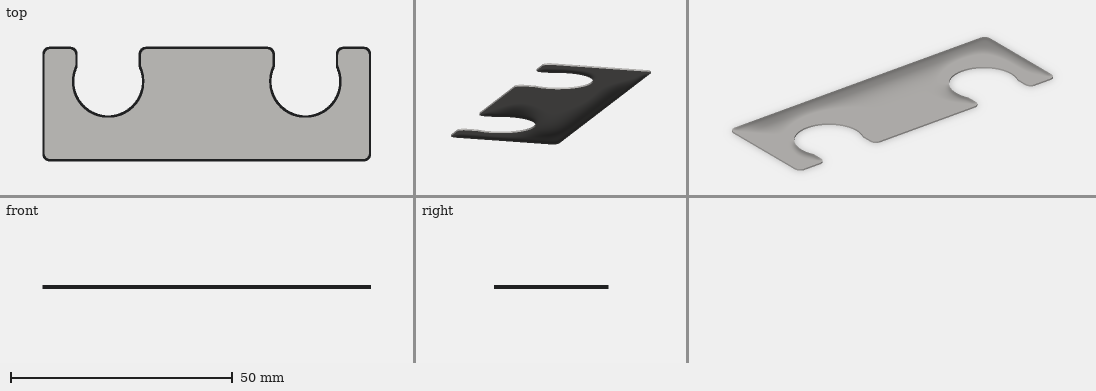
import cadquery as cq
import math

LENGTH = 73.66
WIDTH = 25.4
THICKNESS = 0.381

NOTCH_SPACING = 44.45
SEAT_DIAMETER = 15.748
SEAT_DEPTH = 7.62
MOUTH_WIDTH = 14.224

CORNER_RADIUS = 1.524

SEAT_RADIUS = SEAT_DIAMETER / 2
SEAT_Y = WIDTH / 2 - SEAT_DEPTH
NECK_RISE = math.sqrt(SEAT_RADIUS**2 - (MOUTH_WIDTH / 2) ** 2)


def make_plate():
    return cq.Workplane("XY").box(LENGTH, WIDTH, THICKNESS, centered=(True, True, False))


def make_notch(center_x):
    """Round seat joined to the +Y edge by a narrower straight mouth, with rounded necks."""
    seat_center = cq.Workplane("XY").center(center_x, SEAT_Y)
    seat = seat_center.circle(SEAT_RADIUS).extrude(THICKNESS)
    mouth = (
        cq.Workplane("XY")
        .center(center_x, SEAT_Y + SEAT_DEPTH / 2)
        .rect(MOUTH_WIDTH, SEAT_DEPTH)
        .extrude(THICKNESS)
    )
    notch = seat.union(mouth)
    for side in (-1, 1):
        neck = (center_x + side * MOUTH_WIDTH / 2, SEAT_Y + NECK_RISE, THICKNESS / 2)
        neck_edge = cq.selectors.NearestToPointSelector(neck)
        notch = notch.edges("|Z").edges(neck_edge).fillet(CORNER_RADIUS)
    return notch


def round_corners(plate):
    """Round every upright edge on the -Y and +Y sides, including the notch mouths."""
    for side in ("<Y", ">Y"):
        plate = plate.faces(side).edges("|Z").fillet(CORNER_RADIUS)
    return plate


result = make_plate()
for notch_x in (-NOTCH_SPACING / 2, NOTCH_SPACING / 2):
    result = result.cut(make_notch(notch_x))
result = round_corners(result)